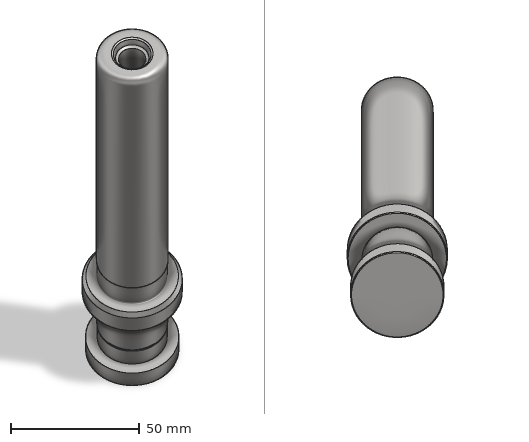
import cadquery as cq
import math

TOTAL_HEIGHT = 186.0
FLANGE_TOP = 8.2
PILLAR_BOTTOM = 16.2
COLLAR_BOTTOM = 36.0
COLLAR_TOP = 46.3
SHANK_BOTTOM = 56.5

SHANK_RADIUS = 28.0 / 2
NECK_RADIUS = 27.5 / 2
FIT_RADIUS = 27.7 / 2
COLLAR_RADIUS = 39.0 / 2
SHANK_TAPER_HEIGHT = 0.5
TIP_ROUND = 3.5
COLLAR_TOP_CHAMFER_WIDTH = 1.5
COLLAR_TOP_CHAMFER_HEIGHT = 1.9
COLLAR_BOTTOM_CHAMFER = 0.4
PILLAR_BOTTOM_CHAMFER = 1.0
UNDERCUT_DEPTH = 0.5
UNDERCUT_WIDTH = 1.5
FILLET_ABOVE_COLLAR = 0.7

MOUTH_RADIUS = 16.2 / 2
RIM_RADIUS = 14.7 / 2
SEAT_RADIUS = 13.0 / 2
DRILL_RADIUS = 10.6 / 2
RIM_HALF_ANGLE = math.radians(60)
DRILL_HALF_ANGLE = math.radians(60)
SEAT_DEPTH = 2.8
DRILL_DEPTH = 26.0

FLANGE_RADIUS = 36.5 / 2
HUB_RADIUS = 27.3 / 2
FLANGE_CHAMFER = 0.4


def cone_height(large_radius, small_radius, half_angle):
    return (large_radius - small_radius) / math.tan(half_angle)


def turned(profile):
    """Close a half profile drawn in the XZ plane and revolve it about Z."""
    return profile.close().revolve(360, (0, 0, 0), (0, 1, 0))


def make_centre_bore():
    rim_end = TOTAL_HEIGHT - cone_height(MOUTH_RADIUS, RIM_RADIUS, RIM_HALF_ANGLE)
    seat_height = TOTAL_HEIGHT - SEAT_DEPTH
    drill_start = seat_height - cone_height(SEAT_RADIUS, DRILL_RADIUS, DRILL_HALF_ANGLE)
    drill_end = TOTAL_HEIGHT - DRILL_DEPTH
    drill_point = drill_end - cone_height(DRILL_RADIUS, 0, DRILL_HALF_ANGLE)
    return turned(
        cq.Workplane("XZ")
        .moveTo(0, TOTAL_HEIGHT)
        .lineTo(MOUTH_RADIUS, TOTAL_HEIGHT)
        .lineTo(RIM_RADIUS, rim_end)
        .lineTo(SEAT_RADIUS, seat_height)
        .lineTo(DRILL_RADIUS, drill_start)
        .lineTo(DRILL_RADIUS, drill_end)
        .lineTo(0, drill_point)
    )


def make_pillar():
    undercut_radius = FIT_RADIUS - UNDERCUT_DEPTH
    undercut_bottom = COLLAR_BOTTOM - UNDERCUT_WIDTH
    body = turned(
        cq.Workplane("XZ")
        .moveTo(0, PILLAR_BOTTOM)
        .lineTo(FIT_RADIUS - PILLAR_BOTTOM_CHAMFER, PILLAR_BOTTOM)
        .lineTo(FIT_RADIUS, PILLAR_BOTTOM + PILLAR_BOTTOM_CHAMFER)
        .lineTo(FIT_RADIUS, undercut_bottom)
        .lineTo(undercut_radius, undercut_bottom + UNDERCUT_DEPTH)
        .lineTo(undercut_radius, COLLAR_BOTTOM)
        .lineTo(COLLAR_RADIUS - COLLAR_BOTTOM_CHAMFER, COLLAR_BOTTOM)
        .lineTo(COLLAR_RADIUS, COLLAR_BOTTOM + COLLAR_BOTTOM_CHAMFER)
        .lineTo(COLLAR_RADIUS, COLLAR_TOP - COLLAR_TOP_CHAMFER_HEIGHT)
        .lineTo(COLLAR_RADIUS - COLLAR_TOP_CHAMFER_WIDTH, COLLAR_TOP)
        .lineTo(NECK_RADIUS + FILLET_ABOVE_COLLAR, COLLAR_TOP)
        .radiusArc((NECK_RADIUS, COLLAR_TOP + FILLET_ABOVE_COLLAR), FILLET_ABOVE_COLLAR)
        .lineTo(NECK_RADIUS, SHANK_BOTTOM - SHANK_TAPER_HEIGHT)
        .lineTo(SHANK_RADIUS, SHANK_BOTTOM)
        .lineTo(SHANK_RADIUS, TOTAL_HEIGHT - TIP_ROUND)
        .radiusArc((SHANK_RADIUS - TIP_ROUND, TOTAL_HEIGHT), -TIP_ROUND)
        .lineTo(0, TOTAL_HEIGHT)
    )
    return body.cut(make_centre_bore())


def make_retaining_flange():
    return turned(
        cq.Workplane("XZ")
        .lineTo(FLANGE_RADIUS - FLANGE_CHAMFER, 0)
        .lineTo(FLANGE_RADIUS, FLANGE_CHAMFER)
        .lineTo(FLANGE_RADIUS, FLANGE_TOP)
        .lineTo(HUB_RADIUS, FLANGE_TOP)
        .lineTo(HUB_RADIUS, PILLAR_BOTTOM)
        .lineTo(0, PILLAR_BOTTOM)
    )


pillar = make_pillar()
retaining_flange = make_retaining_flange()

result = cq.Compound.makeCompound([pillar.val(), retaining_flange.val()])